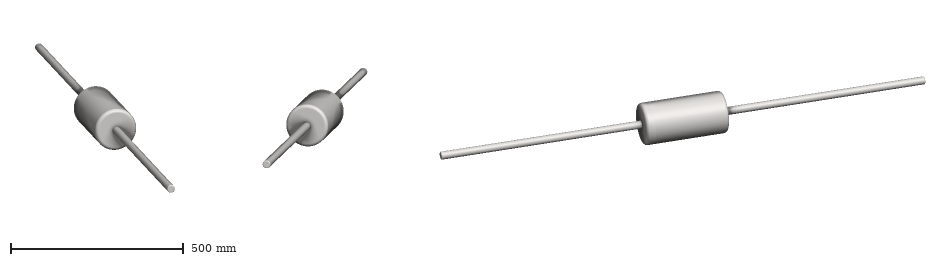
import cadquery as cq

overall_length = 1461.0
case_length = 250.0
case_diameter = 124.0
edge_radius = 10.0
cap_length = 26.0
lead_diameter = 23.0
tip_radius = 3.0

case_start = -case_length / 2
case_end = case_length / 2
cap_end = case_start + cap_length
lead_length = (overall_length - case_length) / 2


def x_cylinder(diameter, start, length):
    """Solid cylinder about the X axis, running in +X from start."""
    return cq.Workplane("YZ", origin=(start, 0, 0)).circle(diameter / 2).extrude(length)


def make_end_cap():
    """Disc at the -X end of the case, with its outer rim rounded."""
    return x_cylinder(case_diameter, case_start, cap_length).faces("<X").edges().fillet(edge_radius)


def make_case():
    """Main cylinder, butting against the end cap, with its +X rim rounded."""
    return x_cylinder(case_diameter, cap_end, case_end - cap_end).faces(">X").edges().fillet(edge_radius)


def make_lead(start, tip_face):
    """Straight round wire meeting the flat case end, with the rim of its free tip rounded."""
    return x_cylinder(lead_diameter, start, lead_length).faces(tip_face).edges().fillet(tip_radius)


end_cap = make_end_cap()
case = make_case()
leads = []
for lead_start, tip_face in ((-overall_length / 2, "<X"), (case_end, ">X")):
    leads.append(make_lead(lead_start, tip_face).val())

result = cq.Compound.makeCompound([end_cap.val(), case.val(), *leads])